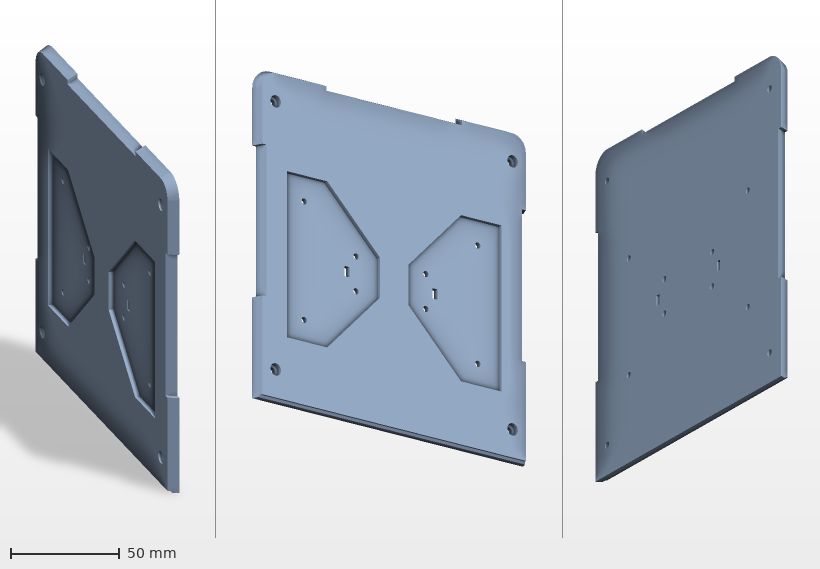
import cadquery as cq
import math

WIDTH = 156.0
HEIGHT = 161.3
THICKNESS = 5.0
CORNER_RADIUS = 10.0
EDGE_SLOPE = 25.0
RIM_THICKNESS = 0.25
SLOPE_THICKNESS = THICKNESS - RIM_THICKNESS
EDGE_INSET = SLOPE_THICKNESS * math.tan(math.radians(EDGE_SLOPE))
BOTTOM_BEVEL_HEIGHT = 1.0
BOTTOM_BEVEL_DEPTH = 0.9
BOTTOM_LEDGE_DEPTH = 1.1

NOTCH_DEPTH = 2.3
TOP_NOTCH_LENGTH = WIDTH / 2
SIDE_NOTCH_BOTTOM = 49.2
SIDE_NOTCH_LENGTH = 74.0

SCREW_X = 68.2
SCREW_BOTTOM_Z = 14.7
SCREW_TOP_Z = HEIGHT - 15.9
SCREW_DIAMETER = 3.4
SCREW_HEAD_DIAMETER = 6.0
SCREW_HEAD_DEPTH = 2.8

POCKET_Z = 72.3
POCKET_DEPTH = 2.4
POCKET_OUTER_X = 61.75
POCKET_CORNER_X = 38.5
POCKET_INNER_X = 8.2
POCKET_OUTER_HEIGHT = 81.0
POCKET_INNER_HEIGHT = 19.6

PIN_DIAMETER = 3.0
OUTER_PIN_X = 50.0
OUTER_PIN_SPACING = 57.7
INNER_PIN_X = 20.1
INNER_PIN_SPACING = 17.0
SLOT_X = 25.4
SLOT_WIDTH = 2.8
SLOT_HEIGHT = 5.0

CLEARANCE = 5.0
SIDES = (-1, 1)


def front_plane():
    """Sketch plane on the front face: local x is X, local y is Z, negative extrusions enter the plate."""
    return cq.Workplane("XZ")


def plate_outline(back_y):
    """Closed outline with rounded upper corners; it runs past the bottom edge to be trimmed there."""
    half = WIDTH / 2
    mid_arc = CORNER_RADIUS * (1 - math.sqrt(0.5))
    return (
        cq.Workplane("XZ", origin=(0, back_y, 0))
        .moveTo(-half, -CLEARANCE)
        .lineTo(half, -CLEARANCE)
        .lineTo(half, HEIGHT - CORNER_RADIUS)
        .threePointArc((half - mid_arc, HEIGHT - mid_arc), (half - CORNER_RADIUS, HEIGHT))
        .lineTo(CORNER_RADIUS - half, HEIGHT)
        .threePointArc((mid_arc - half, HEIGHT - mid_arc), (-half, HEIGHT - CORNER_RADIUS))
        .close()
    )


def make_plate():
    """Plate with a square rim at the back and edges that lean inward toward the front."""
    rim = plate_outline(THICKNESS).extrude(RIM_THICKNESS)
    sloped = plate_outline(SLOPE_THICKNESS).extrude(SLOPE_THICKNESS, taper=EDGE_SLOPE)
    return rim.union(sloped).cut(make_bottom_trim())


def make_bottom_trim():
    """Cutter that leaves a square bottom edge, a bevel and a level ledge up to the front face."""
    return (
        cq.Workplane("YZ")
        .polyline([
            (THICKNESS + CLEARANCE, 0),
            (BOTTOM_LEDGE_DEPTH + BOTTOM_BEVEL_DEPTH, 0),
            (BOTTOM_LEDGE_DEPTH, BOTTOM_BEVEL_HEIGHT),
            (-CLEARANCE, BOTTOM_BEVEL_HEIGHT),
            (-CLEARANCE, -2 * CLEARANCE),
            (THICKNESS + CLEARANCE, -2 * CLEARANCE),
        ])
        .close()
        .extrude(WIDTH / 2 + CLEARANCE, both=True)
    )


def make_top_notch():
    """Cutter for the shallow notch in the middle of the top edge."""
    back_z = HEIGHT - NOTCH_DEPTH
    return (
        cq.Workplane("YZ")
        .polyline([
            (0, back_z - EDGE_INSET),
            (SLOPE_THICKNESS, back_z),
            (THICKNESS, back_z),
            (THICKNESS, HEIGHT + CLEARANCE),
            (0, HEIGHT + CLEARANCE),
        ])
        .close()
        .extrude(TOP_NOTCH_LENGTH / 2, both=True)
    )


def make_side_notch(side):
    """Cutter for the shallow notch in one side edge; side is -1 or 1."""
    back_x = WIDTH / 2 - NOTCH_DEPTH
    outside_x = WIDTH / 2 + CLEARANCE
    return (
        cq.Workplane("XY", origin=(0, 0, SIDE_NOTCH_BOTTOM))
        .polyline([
            (side * (back_x - EDGE_INSET), 0),
            (side * back_x, SLOPE_THICKNESS),
            (side * back_x, THICKNESS),
            (side * outside_x, THICKNESS),
            (side * outside_x, 0),
        ])
        .close()
        .extrude(SIDE_NOTCH_LENGTH)
    )


def make_screw_holes():
    """Through shanks with flat-bottomed head recesses in the front face."""
    centres = [(side * SCREW_X, z) for side in SIDES for z in (SCREW_BOTTOM_Z, SCREW_TOP_Z)]
    shanks = front_plane().pushPoints(centres).circle(SCREW_DIAMETER / 2).extrude(-THICKNESS)
    heads = front_plane().pushPoints(centres).circle(SCREW_HEAD_DIAMETER / 2).extrude(-SCREW_HEAD_DEPTH)
    return shanks.union(heads)


def make_pocket(side):
    """Pocket recess that narrows toward the middle of the plate."""
    half_outer = POCKET_OUTER_HEIGHT / 2
    half_inner = POCKET_INNER_HEIGHT / 2
    return (
        front_plane()
        .polyline([
            (side * POCKET_OUTER_X, POCKET_Z - half_outer),
            (side * POCKET_CORNER_X, POCKET_Z - half_outer),
            (side * POCKET_INNER_X, POCKET_Z - half_inner),
            (side * POCKET_INNER_X, POCKET_Z + half_inner),
            (side * POCKET_CORNER_X, POCKET_Z + half_outer),
            (side * POCKET_OUTER_X, POCKET_Z + half_outer),
        ])
        .close()
        .extrude(-POCKET_DEPTH)
    )


def make_pocket_openings(side):
    """Four pin holes and one rectangular slot through the pocket floor."""
    pins = [
        (side * x, POCKET_Z + end * spacing / 2)
        for x, spacing in ((OUTER_PIN_X, OUTER_PIN_SPACING), (INNER_PIN_X, INNER_PIN_SPACING))
        for end in SIDES
    ]
    holes = front_plane().pushPoints(pins).circle(PIN_DIAMETER / 2).extrude(-THICKNESS)
    slot = front_plane().center(side * SLOT_X, POCKET_Z).rect(SLOT_WIDTH, SLOT_HEIGHT).extrude(-THICKNESS)
    return holes.union(slot)


plate = make_plate().cut(make_top_notch()).cut(make_screw_holes())
for side in SIDES:
    plate = plate.cut(make_side_notch(side))
    plate = plate.cut(make_pocket(side))
    plate = plate.cut(make_pocket_openings(side))

result = plate